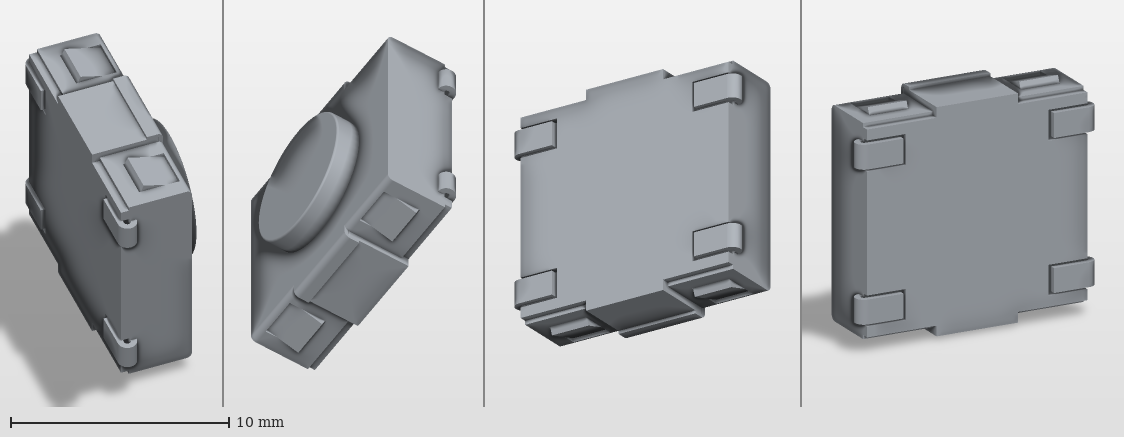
import cadquery as cq


overall_length = 12.3
overall_height = 11.4

half_width = 5.7
half_height = 5.03
block_half_width = 2.1
block_half_height = 5.55

sheet = 0.2
cover_top = 3.5
bend_outer = 0.3
bend_inner = bend_outer - sheet
wing_half_height = half_height + sheet
wing_end = 0.38
tab_half_height = overall_height / 2
tab_length = 0.8
housing_top = cover_top - sheet

button_radius = 3.31
button_top = 4.7
button_fillet = 0.1

snap_width = 2.0
snap_centre = 3.91
snap_low = 1.2
snap_peak = 1.43
snap_high = cover_top - bend_outer
snap_peak_height = 5.56

terminal_width = 1.2
terminal_thickness = 0.3
terminal_drop = 0.15
terminal_centre = 3.75
curl_outer = overall_length / 2 - half_width
curl_inner = curl_outer - terminal_thickness
curl_centre = curl_outer - terminal_drop
pad_length = 1.81
pocket_length = 2.0
pocket_width = 1.5
pocket_depth = 0.4

SIDES = (-1, 1)


def block(x_range, y_range, z_range):
    """Box spanning the given (low, high) limits."""
    (x0, x1), (y0, y1), (z0, z1) = x_range, y_range, z_range
    return cq.Workplane("XY").box(x1 - x0, y1 - y0, z1 - z0, centered=False).translate((x0, y0, z0))


def symmetric(half):
    """Limits of a range centred on zero."""
    return (-half, half)


def at_snaps(shape):
    """Copies of a shape, given for the +X +Z snap, at all four snaps."""
    upper = [shape, shape.mirror("YZ")]
    lower = [copy.mirror("XY") for copy in upper]
    return upper + lower


def make_snap():
    """Wedge with a long ramp toward the cover top; its foot is buried in the housing."""
    return (
        cq.Workplane("YZ", origin=(snap_centre - snap_width / 2, 0, 0))
        .polyline([
            (snap_low, 0),
            (snap_low, half_height),
            (snap_peak, snap_peak_height),
            (snap_high, half_height),
            (snap_high, 0),
        ])
        .close()
        .extrude(snap_width)
    )


def make_button():
    return (
        cq.Workplane("XZ")
        .circle(button_radius)
        .extrude(-button_top)
        .faces(">Y").edges().fillet(button_fillet)
    )


def make_pocket(side_x, side_z):
    return cq.Workplane("XY").box(pocket_length, pocket_depth, pocket_width).translate((
        side_x * (half_width - pocket_length / 2),
        pocket_depth / 2,
        side_z * terminal_centre,
    ))


def make_housing():
    depth = (0, housing_top)
    base = block(symmetric(half_width), depth, symmetric(half_height))
    centre = block(symmetric(block_half_width), depth, symmetric(block_half_height))
    body = base.union(centre)
    body = body.faces(">Y").edges("not(<X or >X)").fillet(bend_inner)
    for snap in at_snaps(make_snap()):
        body = body.union(snap)
    body = body.union(make_button())
    for side_x in SIDES:
        for side_z in SIDES:
            body = body.cut(make_pocket(side_x, side_z))
    return body


def channel(x_range, outer_half, inner_half, leg_end):
    """Bent sheet of U section, closed at the top and open toward -Y."""
    outer = (
        block(x_range, (leg_end, cover_top), symmetric(outer_half))
        .faces(">Y").edges("|X").fillet(bend_outer)
    )
    inner = (
        block(x_range, (leg_end, housing_top), symmetric(inner_half))
        .faces(">Y").edges("|X").fillet(bend_inner)
    )
    return outer.cut(inner)


def make_cover():
    tab_end = cover_top - tab_length
    cover = channel(symmetric(block_half_width), tab_half_height, block_half_height, tab_end)
    for x_range in ((-half_width, -block_half_width), (block_half_width, half_width)):
        cover = cover.union(channel(x_range, wing_half_height, half_height, wing_end))
    window = block(
        (snap_centre - snap_width / 2, snap_centre + snap_width / 2),
        (snap_low, snap_high),
        (half_height - sheet, wing_half_height + sheet),
    )
    for opening in at_snaps(window):
        cover = cover.cut(opening)
    button_hole = cq.Workplane("XZ").circle(button_radius).extrude(-button_top)
    return cover.cut(button_hole)


def make_terminal(side_x, side_z):
    """Flat pad with its outer end curled back against the housing side."""
    edge = side_x * half_width
    pad_end = side_x * (half_width - pad_length)
    pad_top = terminal_thickness - terminal_drop
    middle = side_z * terminal_centre
    return (
        cq.Workplane("XY", origin=(0, 0, middle - terminal_width / 2))
        .moveTo(pad_end, -terminal_drop)
        .lineTo(edge, -terminal_drop)
        .threePointArc((edge + side_x * curl_outer, curl_centre), (edge, curl_centre + curl_outer))
        .lineTo(edge, curl_centre + curl_inner)
        .threePointArc((edge + side_x * curl_inner, curl_centre), (edge, pad_top))
        .lineTo(pad_end, pad_top)
        .close()
        .extrude(terminal_width)
    )


housing = make_housing()
cover = make_cover()
terminals = []
for side_x in SIDES:
    for side_z in SIDES:
        terminals.append(make_terminal(side_x, side_z).val())

result = cq.Compound.makeCompound([housing.val(), cover.val(), *terminals])